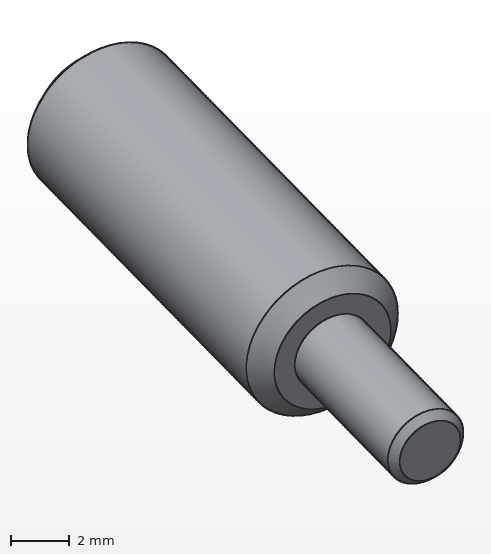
import cadquery as cq

total_length = 22.5
body_length = 16.0
body_diameter = 6.0
body_chamfer = 0.7
stem_diameter = 3.0
stem_chamfer = 0.3

stem_length = total_length - body_length
body_start = -total_length / 2
shoulder = body_start + body_length

body = (
    cq.Workplane("YZ", origin=(body_start, 0, 0))
    .circle(body_diameter / 2)
    .extrude(body_length)
    .edges("%CIRCLE")
    .chamfer(body_chamfer)
)

stem = (
    cq.Workplane("YZ", origin=(shoulder, 0, 0))
    .circle(stem_diameter / 2)
    .extrude(stem_length)
    .faces(">X")
    .edges()
    .chamfer(stem_chamfer)
)

result = body.union(stem)